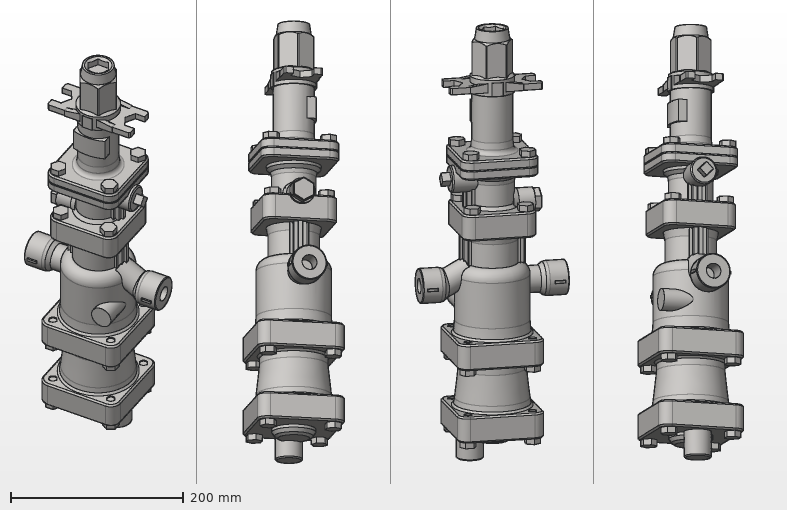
import cadquery as cq
import math

TOTAL_HEIGHT = 515.0
HEX_TOP = 502.0
HEX_BOTTOM = 461.5
COLLAR_TOP = 458.5
COLLAR_BOTTOM = 439.0
BONNET_FLANGE_TOP = 368.0
BONNET_FLANGE_BOTTOM = 345.0
COVER_FLANGE_TOP = 302.5
COVER_FLANGE_BOTTOM = 271.5
SHOULDER_TOP = 234.0
SHOULDER_BOTTOM = 219.5
SHOULDER_LEDGE = 0.5
BODY_FLARE_TOP = 165.0
BODY_FLANGE_TOP = 149.5
BASE_FLANGE_TOP = 62.5
LOWER_FLANGE_THICKNESS = 31.5
BODY_FLANGE_BOTTOM = BODY_FLANGE_TOP - LOWER_FLANGE_THICKNESS
BASE_FLANGE_BOTTOM = BASE_FLANGE_TOP - LOWER_FLANGE_THICKNESS
PORT_HEIGHT = 210.0

BONNET_FLANGE_SIDE = 92.0
COVER_FLANGE_SIDE = 88.0
LOWER_FLANGE_SIDE = 103.0
FLANGE_CORNER_RADIUS = 13.0
FLANGE_EDGE = 2.0
GASKET_HEIGHT = 356.5
GASKET_THICKNESS = 1.5
GASKET_INSET = 0.5
FOOT_HEIGHT = 2.5

BONNET_BOLT_OFFSET = 34.0
COVER_BOLT_OFFSET = 32.0
LOWER_BOLT_OFFSET = 38.5
BOLT_ACROSS_FLATS = 17.0
BOLT_HEAD_HEIGHT = 7.0
BOLT_END_DIAMETER = 10.0
BOLT_END_RECESS = 1.5

SPINDLE_DIAMETER = 48.0
SPINDLE_FOOT_RADIUS = 6.0
SPINDLE_FLARE = 1.0
SPINDLE_FLARE_HEIGHT = 14.5
COLLAR_DIAMETER = 52.0
BONNET_NECK_DIAMETER = 52.0
BONNET_NECK_FOOT = 4.0
BONNET_NECK_FLARE = [(0, 13.0), (1.0, 7.5), (5.5, 3.5), (6.0, 0)]
NECK_DIAMETER = 60.0
NECK_FLARE = 2.0
NECK_FLARE_HEIGHT = 9.5
BODY_DIAMETER = 88.0
SKIRT_DIAMETER = 90.0
LOWER_NECK_DIAMETER = 80.0
LOWER_NECK_LENGTH = 10.5
LOWER_SKIRT_HEIGHT = 9.5
BOTTOM_CAP_PROFILE = [(18.5, 11.0), (22.5, 8.0), (26.0, 3.5), (26.0, 0)]

STEM_TOP_DIAMETER = 37.0
STEM_DIAMETER = 41.0
HEX_ACROSS_FLATS = 43.0
HEX_CORNER_DIAMETER = 48.5
HEX_CORNER_DROP = 3.0
SOCKET_ACROSS_FLATS = 23.5
SOCKET_DEPTH = 10.5
SOCKET_MOUTH_DIAMETER = 32.0
SOCKET_MOUTH_DEPTH = 2.5

PLATE_LENGTH = 110.0
PLATE_WIDTH = 46.0
PLATE_CORNER = 2.0
PLATE_TOP = 451.0
PLATE_BOTTOM = 443.5
WRENCH_ACROSS_FLATS = 24.5
WRENCH_NOTCH_APEX = 35.5
CLIP_LENGTH = 64.0
CLIP_INNER = 17.0
CLIP_OUTER = 23.5
CLIP_TOP = 455.5
TAB_WIDTH = 13.5

NAME_PLATE_WIDTH = 42.0
NAME_PLATE_BOTTOM = 399.0
NAME_PLATE_TOP = 425.0
NAME_PLATE_BACK = -11.0
NAME_PLATE_SIDE = -21.5
NAME_PLATE_FRONT = -26.0

STRAINER_HEIGHT = 305.5
STRAINER_BOSS_DIAMETER = 30.0
STRAINER_ROOT_DIAMETER = 36.0
STRAINER_ROOT_SPAN = (-29.0, -21.5)
STRAINER_BOSS_END = 48.5
STRAINER_END = 56.5
SCREW_HEIGHT = 336.5
SCREW_BOSS_DIAMETER = 32.0
SCREW_BOSS_START = 7.5
SCREW_BOSS_END = 51.0
SCREW_BOSS_CHAMFER = 1.5
SCREW_END = 61.5
SCREW_SQUARE_DIAGONAL = 16.5

PASSAGE_STEPS = [(31.0, 11.5), (36.0, 7.5), (39.0, 2.5)]
PASSAGE_BOTTOM = 211.0
UPPER_PASSAGE_INSET = 4.0

LENGTH = 175.0
FITTING_DIAMETER = 41.0
FITTING_LENGTH = 23.0
FITTING_RIM_LENGTH = 4.0
FITTING_RIM_DIAMETER = 39.0
PORT_TUBE_DIAMETER = 32.0
PORT_BORE_DIAMETER = 17.5
PORT_BORE_DEPTH = 26.0
FITTING_TAPER = 5.0
RIM_CHAMFER = 1.0
OUTLET_TILT = 28.0
OUTLET_ELBOW_X = 59.5
OUTLET_TUBE_LENGTH = 36.0
FITTING_EAR_SPAN = 45.5
FITTING_EAR_LENGTH = 12.5
FITTING_EAR_HEIGHT = 3.0
FITTING_EAR_CENTER = 76.0
DRAIN_X = 27.0
DRAIN_DIAMETER = 32.0
DRAIN_CHAMFER = 1.5
BODY_PLUG_DIAMETER = 26.0
BODY_PLUG_X = 30.0
BODY_PLUG_Z = 184.5
BODY_PLUG_REACH = 46.0


def corner_diameter(across_flats):
    """Across-corners size of a hexagon."""
    return across_flats / math.cos(math.pi / 6)


def cylinder_z(diameter, bottom, top):
    return cq.Workplane("XY").workplane(offset=bottom).circle(diameter / 2).extrude(top - bottom)


def hexagon_z(across_flats, bottom, top):
    """Upright hexagonal prism with corners on the X axis."""
    plane = cq.Workplane("XY").workplane(offset=bottom)
    return plane.polygon(6, corner_diameter(across_flats)).extrude(top - bottom)


def cylinder_x(diameter, start, end, height):
    plane = cq.Workplane("YZ").workplane(offset=start).center(0, height)
    return plane.circle(diameter / 2).extrude(end - start)


def cone_x(start_diameter, end_diameter, start, end, height):
    plane = cq.Workplane("YZ").workplane(offset=start).center(0, height).circle(start_diameter / 2)
    return plane.workplane(offset=end - start).circle(end_diameter / 2).loft()


def revolved(profile):
    """Solid of revolution about Z from a list of (radius, height) points."""
    points = [(0, profile[0][1])] + profile + [(0, profile[-1][1])]
    return cq.Workplane("YZ").polyline(points).close().revolve(360, (0, 0, 0), (0, 1, 0))


def box_between(x_range, y_range, z_range):
    sizes = [end - start for start, end in (x_range, y_range, z_range)]
    return cq.Workplane("XY").box(*sizes, centered=False).translate((x_range[0], y_range[0], z_range[0]))


def rounded_square(side, corner_radius, bottom, top):
    block = cq.Workplane("XY").workplane(offset=bottom).rect(side, side).extrude(top - bottom)
    return block.edges("|Z").fillet(corner_radius)


def square_flange(side, bottom, top):
    """Bolted pair of rounded square flanges with chamfered rims."""
    flange = rounded_square(side, FLANGE_CORNER_RADIUS, bottom, top)
    return flange.faces("<Z or >Z").chamfer(FLANGE_EDGE)


def bonnet_flange():
    """Upper flange pair with a slightly inset gasket at the joint."""
    flange = square_flange(BONNET_FLANGE_SIDE, BONNET_FLANGE_BOTTOM, BONNET_FLANGE_TOP)
    bottom = GASKET_HEIGHT - GASKET_THICKNESS / 2
    top = GASKET_HEIGHT + GASKET_THICKNESS / 2
    slab = cylinder_z(2 * BONNET_FLANGE_SIDE, bottom, top)
    gasket = rounded_square(
        BONNET_FLANGE_SIDE - 2 * GASKET_INSET,
        FLANGE_CORNER_RADIUS - GASKET_INSET,
        bottom,
        top,
    )
    return flange.cut(slab).union(gasket)


def bolt_heads(offset, bottom):
    """Four hexagon heads, each a quarter turn of the one before."""
    head = hexagon_z(BOLT_ACROSS_FLATS, bottom, bottom + BOLT_HEAD_HEIGHT)
    head = head.translate((-offset, -offset, 0))
    heads = head
    for quarter in range(1, 4):
        heads = heads.union(head.rotate((0, 0, 0), (0, 0, 1), 90 * quarter))
    return heads


def bolt_end_recesses(flange_top):
    plane = cq.Workplane("XY").workplane(offset=flange_top - BOLT_END_RECESS)
    plane = plane.rect(2 * LOWER_BOLT_OFFSET, 2 * LOWER_BOLT_OFFSET, forConstruction=True).vertices()
    return plane.circle(BOLT_END_DIAMETER / 2).extrude(BOLT_END_RECESS)


def top_stem():
    """Tapered stem with a hexagon socket above a chamfered hexagon."""
    stem = revolved([
        (STEM_DIAMETER / 2, HEX_TOP),
        (STEM_TOP_DIAMETER / 2, TOTAL_HEIGHT),
    ])
    envelope = revolved([
        (HEX_CORNER_DIAMETER / 2, COLLAR_BOTTOM),
        (HEX_CORNER_DIAMETER / 2, HEX_TOP - HEX_CORNER_DROP),
        (STEM_DIAMETER / 2, HEX_TOP),
    ])
    hexagon = hexagon_z(HEX_ACROSS_FLATS, COLLAR_BOTTOM, HEX_TOP).intersect(envelope)
    socket = hexagon_z(SOCKET_ACROSS_FLATS, TOTAL_HEIGHT - SOCKET_DEPTH, TOTAL_HEIGHT)
    mouth = revolved([
        (SOCKET_ACROSS_FLATS / 2, TOTAL_HEIGHT - SOCKET_MOUTH_DEPTH),
        (SOCKET_MOUTH_DIAMETER / 2, TOTAL_HEIGHT),
    ])
    return stem.union(hexagon).cut(socket).cut(mouth)


def spindle_housing():
    """Collar, spindle tube and the flared foot that meets the bonnet flange."""
    collar = COLLAR_DIAMETER / 2
    spindle = SPINDLE_DIAMETER / 2
    foot_radius = SPINDLE_FOOT_RADIUS
    return (
        cq.Workplane("XZ")
        .moveTo(0, BONNET_FLANGE_TOP)
        .lineTo(spindle + foot_radius, BONNET_FLANGE_TOP)
        .radiusArc((spindle + SPINDLE_FLARE, BONNET_FLANGE_TOP + foot_radius), foot_radius)
        .lineTo(spindle, BONNET_FLANGE_TOP + SPINDLE_FLARE_HEIGHT)
        .lineTo(spindle, COLLAR_BOTTOM)
        .lineTo(collar, COLLAR_BOTTOM)
        .lineTo(collar, COLLAR_TOP)
        .lineTo(STEM_DIAMETER / 2, HEX_BOTTOM)
        .lineTo(0, HEX_BOTTOM)
        .close()
        .revolve(360, (0, 0, 0), (0, 1, 0))
    )


def wrench_notch():
    """Open hexagon-jaw notch at the +X end of the plate."""
    half_jaw = WRENCH_ACROSS_FLATS / 2
    shoulder = WRENCH_NOTCH_APEX + half_jaw / math.sqrt(3)
    end = PLATE_LENGTH / 2 + 5
    points = [(WRENCH_NOTCH_APEX, 0), (shoulder, half_jaw), (end, half_jaw)]
    points += [(end, -half_jaw), (shoulder, -half_jaw)]
    plane = cq.Workplane("XY").workplane(offset=PLATE_BOTTOM)
    return plane.polyline(points).close().extrude(PLATE_TOP - PLATE_BOTTOM)


def wrench_plate():
    """Flat double-ended wrench held on the collar by two clips that rise toward a middle tab."""
    plate = cq.Workplane("XY").workplane(offset=PLATE_BOTTOM).rect(PLATE_LENGTH, PLATE_WIDTH)
    plate = plate.extrude(PLATE_TOP - PLATE_BOTTOM).edges("|Z").chamfer(PLATE_CORNER)
    notch = wrench_notch()
    plate = plate.cut(notch).cut(notch.mirror("YZ"))
    half_clip = CLIP_LENGTH / 2
    half_tab = TAB_WIDTH / 2
    clip = (
        cq.Workplane("XZ")
        .workplane(offset=CLIP_INNER)
        .polyline([
            (-half_clip, PLATE_BOTTOM),
            (half_clip, PLATE_BOTTOM),
            (half_clip, PLATE_TOP),
            (half_tab, CLIP_TOP),
            (-half_tab, CLIP_TOP),
            (-half_clip, PLATE_TOP),
        ])
        .close()
        .extrude(CLIP_OUTER - CLIP_INNER)
    )
    half_collar = COLLAR_DIAMETER / 2
    tab = box_between((-half_tab, half_tab), (-half_collar, half_collar), (COLLAR_BOTTOM, CLIP_TOP))
    return plate.union(clip).union(clip.mirror("XZ")).union(tab)


def name_plate():
    """Plate with straight sides and a gently bowed front on the spindle."""
    half = NAME_PLATE_WIDTH / 2
    return (
        cq.Workplane("XY")
        .workplane(offset=NAME_PLATE_BOTTOM)
        .moveTo(-half, NAME_PLATE_BACK)
        .lineTo(-half, NAME_PLATE_SIDE)
        .threePointArc((0, NAME_PLATE_FRONT), (half, NAME_PLATE_SIDE))
        .lineTo(half, NAME_PLATE_BACK)
        .close()
        .extrude(NAME_PLATE_TOP - NAME_PLATE_BOTTOM)
    )


def bonnet_neck():
    """Neck between the two upper flanges, flared under the bonnet flange."""
    neck = BONNET_NECK_DIAMETER / 2
    return revolved([
        (neck + BONNET_NECK_FOOT, COVER_FLANGE_TOP),
        (neck, COVER_FLANGE_TOP + BONNET_NECK_FOOT),
        *[(neck + flare, BONNET_FLANGE_BOTTOM - drop) for flare, drop in BONNET_NECK_FLARE],
    ])


def strainer_plug():
    """Hexagon cap and boss on the -X side of the bonnet neck."""
    boss = cylinder_x(STRAINER_BOSS_DIAMETER, -STRAINER_BOSS_END, 0, STRAINER_HEIGHT)
    root = cone_x(STRAINER_BOSS_DIAMETER, STRAINER_ROOT_DIAMETER, *STRAINER_ROOT_SPAN, STRAINER_HEIGHT)
    cap = hexagon_z(WRENCH_ACROSS_FLATS, STRAINER_BOSS_END, STRAINER_END)
    cap = cap.faces(">Z").edges().chamfer(RIM_CHAMFER)
    cap = cap.rotate((0, 0, 0), (0, 1, 0), -90).translate((0, 0, STRAINER_HEIGHT))
    return boss.union(root).union(cap)


def screw_boss():
    """Boss with a square-headed screw on the +X side of the bonnet neck."""
    boss = cylinder_x(SCREW_BOSS_DIAMETER, SCREW_BOSS_START, SCREW_BOSS_END, SCREW_HEIGHT)
    boss = boss.faces(">X").chamfer(SCREW_BOSS_CHAMFER)
    screw = cq.Workplane("YZ").workplane(offset=SCREW_BOSS_END).center(0, SCREW_HEIGHT)
    screw = screw.polygon(4, SCREW_SQUARE_DIAGONAL).extrude(SCREW_END - SCREW_BOSS_END)
    return boss.union(screw)


def passage_rib(inset, bottom, top):
    """Stepped rib on the +X side, narrowing outward."""
    rib = None
    for reach, half_width in PASSAGE_STEPS:
        step = box_between((0, reach - inset), (-half_width, half_width), (bottom, top))
        rib = step if rib is None else rib.union(step)
    return rib


def main_body():
    """Neck, rounded shoulder and cylindrical body down to the body flange."""
    neck = NECK_DIAMETER / 2
    body = BODY_DIAMETER / 2
    skirt = SKIRT_DIAMETER / 2
    shoulder = SHOULDER_TOP - SHOULDER_BOTTOM
    return (
        cq.Workplane("XZ")
        .moveTo(0, BODY_FLANGE_TOP)
        .lineTo(skirt + FOOT_HEIGHT, BODY_FLANGE_TOP)
        .lineTo(skirt, BODY_FLANGE_TOP + FOOT_HEIGHT)
        .lineTo(body, BODY_FLARE_TOP)
        .lineTo(body, SHOULDER_BOTTOM)
        .radiusArc((neck + SHOULDER_LEDGE, SHOULDER_TOP), -shoulder)
        .lineTo(neck, SHOULDER_TOP)
        .lineTo(neck, COVER_FLANGE_BOTTOM - NECK_FLARE_HEIGHT)
        .lineTo(neck + NECK_FLARE, COVER_FLANGE_BOTTOM)
        .lineTo(0, COVER_FLANGE_BOTTOM)
        .close()
        .revolve(360, (0, 0, 0), (0, 1, 0))
    )


def lower_body():
    """Tapered chamber between the two large flanges."""
    neck = LOWER_NECK_DIAMETER / 2
    skirt = SKIRT_DIAMETER / 2
    return revolved([
        (skirt + FOOT_HEIGHT, BASE_FLANGE_TOP),
        (skirt, BASE_FLANGE_TOP + FOOT_HEIGHT),
        (BODY_DIAMETER / 2, BASE_FLANGE_TOP + LOWER_SKIRT_HEIGHT),
        (neck, BODY_FLANGE_BOTTOM - LOWER_NECK_LENGTH),
        (neck, BODY_FLANGE_BOTTOM - FOOT_HEIGHT),
        (neck + FOOT_HEIGHT, BODY_FLANGE_BOTTOM),
    ])


def bottom_cap():
    """Shallow dome below the base flange."""
    return revolved([(radius, BASE_FLANGE_BOTTOM - drop) for radius, drop in BOTTOM_CAP_PROFILE])


def drain_pipe():
    pipe = cylinder_z(DRAIN_DIAMETER, 0, BASE_FLANGE_BOTTOM).faces("<Z").chamfer(DRAIN_CHAMFER)
    return pipe.translate((DRAIN_X, 0, 0))


def end_fitting():
    """Union end on the +X side with its taper and a pair of side ears."""
    outer = LENGTH / 2
    inner = outer - FITTING_LENGTH
    fitting = cylinder_x(FITTING_DIAMETER, inner, outer, PORT_HEIGHT).faces(">X").chamfer(RIM_CHAMFER)
    taper_end = inner - FITTING_RIM_LENGTH
    rim = cone_x(FITTING_RIM_DIAMETER, FITTING_DIAMETER, taper_end, inner, PORT_HEIGHT)
    taper_start = taper_end - FITTING_TAPER
    taper = cone_x(PORT_TUBE_DIAMETER, FITTING_RIM_DIAMETER, taper_start, taper_end, PORT_HEIGHT)
    half_length = FITTING_EAR_LENGTH / 2
    half_height = FITTING_EAR_HEIGHT / 2
    ears = box_between(
        (FITTING_EAR_CENTER - half_length, FITTING_EAR_CENTER + half_length),
        (-FITTING_EAR_SPAN / 2, FITTING_EAR_SPAN / 2),
        (PORT_HEIGHT - half_height, PORT_HEIGHT + half_height),
    )
    return fitting.union(rim).union(taper).union(ears)


def inlet_tube():
    """Straight tube joining the -X fitting to the body."""
    return cylinder_x(PORT_TUBE_DIAMETER, -LENGTH / 2 + FITTING_LENGTH, 0, PORT_HEIGHT)


def outlet_elbow():
    """Tube rising from the +X fitting toward the neck, with a rounded bend."""
    tube = cylinder_x(PORT_TUBE_DIAMETER, -OUTLET_TUBE_LENGTH, 0, 0)
    tube = tube.rotate((0, 0, 0), (0, 1, 0), OUTLET_TILT)
    bend = cq.Workplane("XY").sphere(PORT_TUBE_DIAMETER / 2)
    return tube.union(bend).translate((OUTLET_ELBOW_X, 0, PORT_HEIGHT))


def port_bore():
    """Blind bore in the +X end fitting."""
    outer = LENGTH / 2
    return cylinder_x(PORT_BORE_DIAMETER, outer - PORT_BORE_DEPTH, outer, PORT_HEIGHT)


def body_plug():
    plug = cq.Workplane("XZ").center(BODY_PLUG_X, BODY_PLUG_Z)
    return plug.circle(BODY_PLUG_DIAMETER / 2).extrude(BODY_PLUG_REACH)


fitting = end_fitting()
bore = port_bore()
rib = passage_rib(0, PASSAGE_BOTTOM, COVER_FLANGE_BOTTOM)

features = [
    spindle_housing(),
    wrench_plate(),
    name_plate(),
    bonnet_flange(),
    bolt_heads(BONNET_BOLT_OFFSET, BONNET_FLANGE_TOP),
    bonnet_neck(),
    strainer_plug(),
    screw_boss(),
    passage_rib(UPPER_PASSAGE_INSET, COVER_FLANGE_TOP, SCREW_HEIGHT),
    square_flange(COVER_FLANGE_SIDE, COVER_FLANGE_BOTTOM, COVER_FLANGE_TOP),
    bolt_heads(COVER_BOLT_OFFSET, COVER_FLANGE_TOP),
    main_body(),
    rib,
    rib.mirror("YZ"),
    inlet_tube(),
    outlet_elbow(),
    fitting,
    fitting.mirror("YZ"),
    body_plug(),
    square_flange(LOWER_FLANGE_SIDE, BODY_FLANGE_BOTTOM, BODY_FLANGE_TOP),
    bolt_heads(LOWER_BOLT_OFFSET, BODY_FLANGE_BOTTOM - BOLT_HEAD_HEIGHT),
    lower_body(),
    square_flange(LOWER_FLANGE_SIDE, BASE_FLANGE_BOTTOM, BASE_FLANGE_TOP),
    bolt_heads(LOWER_BOLT_OFFSET, BASE_FLANGE_BOTTOM - BOLT_HEAD_HEIGHT),
    bottom_cap(),
    drain_pipe(),
]

result = top_stem()
for feature in features:
    result = result.union(feature)

result = result.cut(bore).cut(bore.mirror("YZ"))
for flange_top in (BODY_FLANGE_TOP, BASE_FLANGE_TOP):
    result = result.cut(bolt_end_recesses(flange_top))